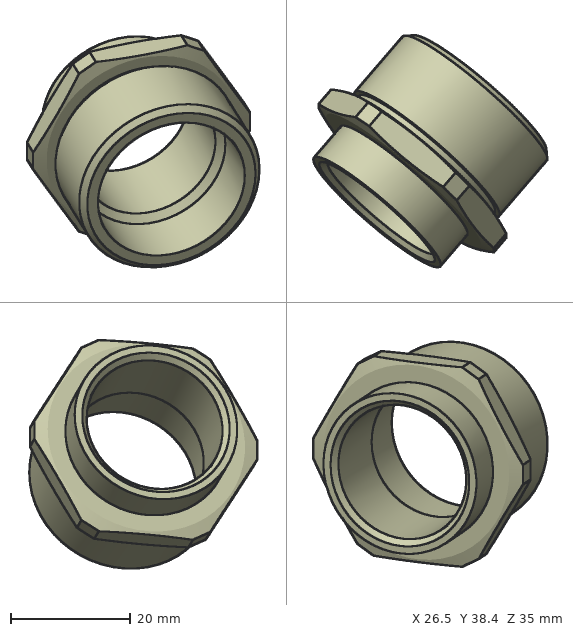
import cadquery as cq
import math

total_length = 26.5
sleeve_length = 7.0
nut_thickness = 4.5
neck_length = 1.5
nut_end = sleeve_length + nut_thickness
barrel_start = nut_end + neck_length

sleeve_diameter = 28.0
neck_diameter = 30.0
barrel_diameter = 31.95
barrel_chamfer = 1.08

across_flats = 35.0
across_trimmed_corners = 38.4
nut_face_diameter = 34.0
nut_chamfer_angle = 15.0

bore_diameter = 23.4
bore_mouth_diameter = 25.4
bore_length = 14.98
socket_diameter = 26.0
socket_start = bore_length + (socket_diameter - bore_diameter) / 2
bore_chamfer = (bore_mouth_diameter - bore_diameter) / 2


def cylinder(diameter, start, end):
    """Solid cylinder on the X axis between two stations."""
    return cq.Workplane("YZ").workplane(offset=start).circle(diameter / 2).extrude(end - start)


def hexagon(flats_distance, corner_angle):
    """Hexagonal prism over the collar length, with one corner at the given angle from +Y."""
    corners_distance = flats_distance / math.cos(math.pi / 6)
    return (
        cq.Workplane("YZ")
        .workplane(offset=sleeve_length)
        .transformed(rotate=(0, 0, corner_angle))
        .polygon(6, corners_distance)
        .extrude(nut_thickness)
    )


def chamfer_envelope():
    """Disc with conical faces that bevels both ends of the collar."""
    face_radius = nut_face_diameter / 2
    rim_radius = across_flats / math.sqrt(3)
    bevel_depth = (rim_radius - face_radius) * math.tan(math.radians(nut_chamfer_angle))
    return (
        cq.Workplane("XY")
        .moveTo(sleeve_length, 0)
        .lineTo(sleeve_length, face_radius)
        .lineTo(sleeve_length + bevel_depth, rim_radius)
        .lineTo(nut_end - bevel_depth, rim_radius)
        .lineTo(nut_end, face_radius)
        .lineTo(nut_end, 0)
        .close()
        .revolve(360, (0, 0, 0), (1, 0, 0))
    )


def make_collar():
    """Hexagon with flats facing +Z and -Z, corners trimmed flat and end faces bevelled."""
    flats = hexagon(across_flats, 0)
    corner_trim = hexagon(across_trimmed_corners, 30)
    return flats.intersect(corner_trim).intersect(chamfer_envelope())


def make_bore():
    """Through hole with a conical mouth at the plain end and a wider socket at the other."""
    mouth_radius = bore_mouth_diameter / 2
    bore_radius = bore_diameter / 2
    socket_radius = socket_diameter / 2
    return (
        cq.Workplane("XY")
        .lineTo(0, mouth_radius)
        .lineTo(bore_chamfer, bore_radius)
        .lineTo(bore_length, bore_radius)
        .lineTo(socket_start, socket_radius)
        .lineTo(total_length, socket_radius)
        .lineTo(total_length, 0)
        .close()
        .revolve(360, (0, 0, 0), (1, 0, 0))
    )


sleeve = cylinder(sleeve_diameter, 0, sleeve_length)
neck = cylinder(neck_diameter, nut_end, barrel_start)
barrel = cylinder(barrel_diameter, barrel_start, total_length).faces(">X").chamfer(barrel_chamfer)

result = sleeve.union(make_collar()).union(neck).union(barrel).cut(make_bore())